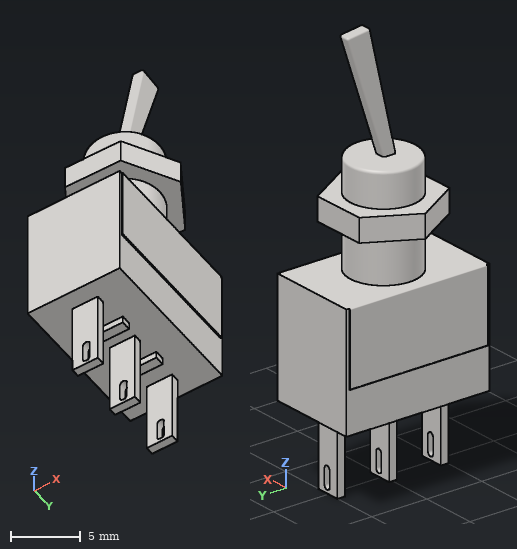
import cadquery as cq
import math

body_width = 8.0
body_length = 13.0
body_height = 10.0

sheet_thickness = 0.1
cover_width = body_width + 2 * sheet_thickness
cover_length = 12.5
cover_bottom = 3.65
bend_radius = sheet_thickness

bushing_diameter = 6.0
bushing_top = body_height + 9.0
bushing_edge_radius = 0.3

nut_across_flats = 8.3
nut_thickness = 2.0
nut_bottom = 14.0
nut_turn = 0.7

lever_thickness = 1.0
lever_edge_radius = 0.2
lever_root_front = -0.8
lever_root_back = 0.38
lever_front_lean = 12.7
lever_back_lean = 18.0
lever_tip_height = 29.48
lever_tip_slope = 7.0
lever_depth_in_bushing = 1.0

terminal_width = 2.2
terminal_thickness = 0.7
terminal_length = 6.3
terminal_pitch = 4.7
terminal_slot_width = 0.6
terminal_slot_length = 1.9
terminal_slot_edge = 0.3
terminal_slot_offset = 0.1

standoff_width = 2.9
standoff_thickness = 0.8
standoff_height = 0.6
standoff_positions = (-2.0, 2.25)

BASE_CENTRED = (True, True, False)


def make_housing():
    """Plain block with the folded cover standing proud of its long sides."""
    block = cq.Workplane("XY").box(body_width, body_length, body_height, centered=BASE_CENTRED)
    cover = (
        cq.Workplane("XY", origin=(0, 0, cover_bottom))
        .box(cover_width, cover_length, body_height - cover_bottom, centered=BASE_CENTRED)
        .edges("|Y and >Z")
        .fillet(bend_radius)
    )
    return block.union(cover)


def make_bushing():
    """Cylinder on top of the housing with a rounded upper rim."""
    return (
        cq.Workplane("XY", origin=(0, 0, body_height))
        .circle(bushing_diameter / 2)
        .extrude(bushing_top - body_height)
        .faces(">Z")
        .edges()
        .fillet(bushing_edge_radius)
    )


def make_lever():
    """Tapered bar with rounded edges; its root is sunk into the bushing."""
    front_run = math.tan(math.radians(lever_front_lean))
    back_run = math.tan(math.radians(lever_back_lean))
    tip_fall = math.tan(math.radians(lever_tip_slope))

    root_z = bushing_top - lever_depth_in_bushing
    root_front_y = lever_root_front - lever_depth_in_bushing * front_run
    root_back_y = lever_root_back - lever_depth_in_bushing * back_run

    tip_front_y = lever_root_front + (lever_tip_height - bushing_top) * front_run
    back_y_at_tip_height = lever_root_back + (lever_tip_height - bushing_top) * back_run
    tip_drop = (back_y_at_tip_height - tip_front_y) * tip_fall / (1 + back_run * tip_fall)
    tip_back_y = back_y_at_tip_height - tip_drop * back_run

    return (
        cq.Workplane("YZ")
        .moveTo(root_front_y, root_z)
        .lineTo(tip_front_y, lever_tip_height)
        .lineTo(tip_back_y, lever_tip_height - tip_drop)
        .lineTo(root_back_y, root_z)
        .close()
        .extrude(lever_thickness / 2, both=True)
        .edges()
        .fillet(lever_edge_radius)
    )


def make_terminal(y):
    """Flat solder lug hanging below the body, with a slightly off-centre slotted eye near its end."""
    slot_z = -terminal_length + terminal_slot_edge + terminal_slot_length / 2
    lug = cq.Workplane("XY", origin=(0, y, -terminal_length / 2)).box(
        terminal_width, terminal_thickness, terminal_length
    )
    eye = (
        cq.Workplane("XZ", origin=(terminal_slot_offset, y, slot_z))
        .slot2D(terminal_slot_length, terminal_slot_width, 90)
        .extrude(terminal_thickness, both=True)
    )
    return lug.cut(eye)


def make_standoff(y):
    """Short bar under the body, between two terminals."""
    return cq.Workplane("XY", origin=(0, y, -standoff_height / 2)).box(
        standoff_width, standoff_thickness, standoff_height
    )


def make_switch():
    """Housing, bushing, lever, terminals and stand-offs as one solid."""
    switch = make_housing().union(make_bushing()).union(make_lever())
    for step in (-1, 0, 1):
        switch = switch.union(make_terminal(step * terminal_pitch))
    for y in standoff_positions:
        switch = switch.union(make_standoff(y))
    return switch


def make_nut():
    """Hexagon nut whose bore fits the bushing."""
    across_corners = nut_across_flats / math.cos(math.radians(30))
    return (
        cq.Workplane("XY", origin=(0, 0, nut_bottom))
        .polygon(6, across_corners)
        .circle(bushing_diameter / 2)
        .extrude(nut_thickness)
        .rotate((0, 0, 0), (0, 0, 1), nut_turn)
    )


switch = make_switch()
nut = make_nut()

result = cq.Compound.makeCompound([switch.val(), nut.val()])